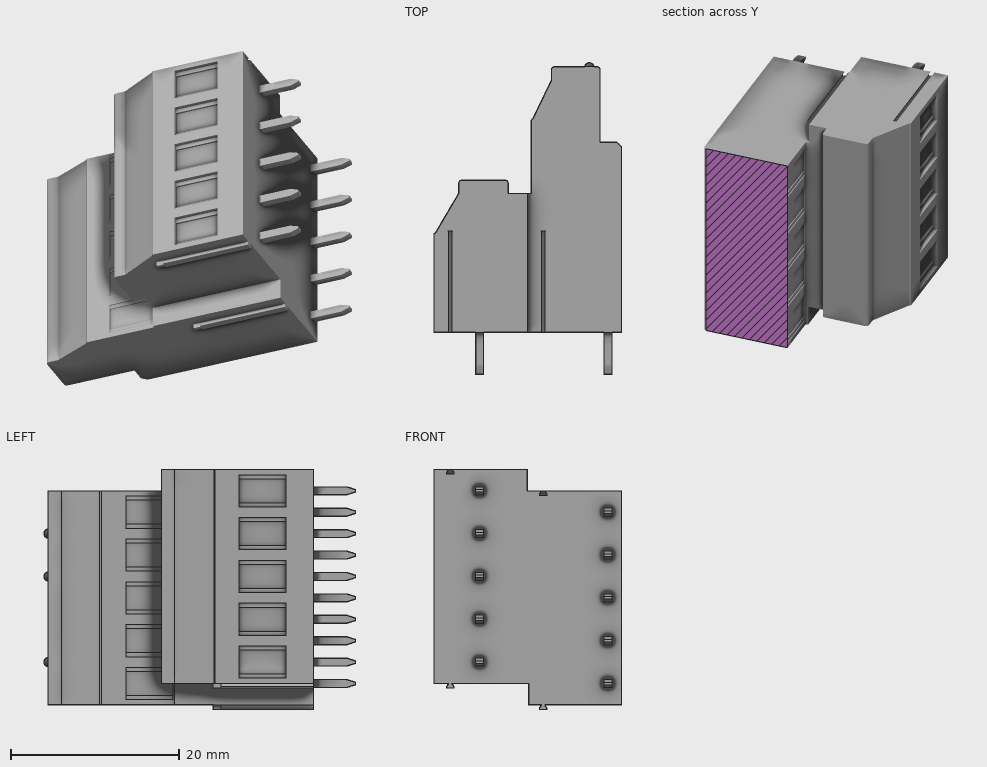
import cadquery as cq


POLES = 5
DECK_LENGTH = 25.42
PITCH = DECK_LENGTH / POLES
LOW_Z = 0.0
TALL_Z = LOW_Z - PITCH / 2

TOTAL_WIDTH = 22.3
DECK_OFFSET_X = 11.03
LOW_DECK_EDGE = 11.1
TALL_DECK_EDGE = 11.25
TALL_WALL_X = 11.55
EDGE_RADIUS = 0.37
LEDGE_STEP = 0.22
LOW_LEDGE_RISE = 0.15
SADDLE_HEIGHT = 16.5

LOW_HEIGHT = 18.05
LOW_SHOULDER = 11.7
LOW_HEAD_LEFT = 2.95
LOW_HEAD_RIGHT = 8.85

TALL_HEIGHT = 31.52
TALL_SHOULDER = 25.15
TALL_NECK = 29.9
TALL_HEAD_LEFT = 13.95
TALL_HEAD_RIGHT = 19.75
BACK_STEP_HEIGHT = 22.57
BACK_CHAMFER = 0.6

WINDOW_BOTTOM = 3.3
WINDOW_LENGTH = 5.55
WINDOW_OPENING = 3.8
LOW_WINDOW_DEPTH = 0.5
TALL_WINDOW_DEPTH = 0.1
TALL_WINDOW_RISE = 13.4
WINDOW_RIM = 0.48
FLOOR_OPENING = WINDOW_OPENING - 2 * WINDOW_RIM
LOW_FLOOR_DEPTH = 0.78
TALL_FLOOR_DEPTH = 0.22

DOVETAIL_X = 1.95
DOVETAIL_NECK = 0.45
DOVETAIL_BASE = 0.9
DOVETAIL_FLARE = 0.37
DOVETAIL_DEPTH = 0.55
GROOVE_LENGTH = 12.02
TONGUE_LENGTH = 11.9
TONGUE_FLARED_LENGTH = 11.0

PIN_SIZE = 0.95
PIN_TIP = 0.3
PIN_LENGTH = 5.0
PIN_TAPER = 1.05
PIN_OVERLAP = 0.37
LOW_PIN_X = 5.45
PIN_ROW_SPACING = 15.25

BUMP_X = 18.45
BUMP_RADIUS = 0.55
BUMP_HEIGHT = 0.48
BUMP_POLE_LINES = (1, 3, 4)


def box(x, y, z, dx, dy, dz):
    """Box from its minimum corner and its sizes."""
    return cq.Workplane("XY").box(dx, dy, dz, centered=False).translate((x, y, z))


def low_deck():
    outline = [
        (0, 0),
        (LOW_DECK_EDGE, 0),
        (LOW_DECK_EDGE, SADDLE_HEIGHT),
        (LOW_HEAD_RIGHT, SADDLE_HEIGHT),
        (LOW_HEAD_RIGHT, LOW_HEIGHT),
        (LOW_HEAD_LEFT, LOW_HEIGHT),
        (LOW_HEAD_LEFT, SADDLE_HEIGHT),
        (LEDGE_STEP, LOW_SHOULDER + LOW_LEDGE_RISE),
        (0, LOW_SHOULDER),
    ]
    deck = cq.Workplane("XY").polyline(outline).close().extrude(DECK_LENGTH)
    deck = deck.edges("|Z and >Y").fillet(EDGE_RADIUS)
    return deck.translate((0, 0, LOW_Z))


def tall_deck():
    outline = [
        (LOW_DECK_EDGE, 0),
        (TOTAL_WIDTH, 0),
        (TOTAL_WIDTH, BACK_STEP_HEIGHT - BACK_CHAMFER),
        (TOTAL_WIDTH - BACK_CHAMFER, BACK_STEP_HEIGHT),
        (TALL_HEAD_RIGHT, BACK_STEP_HEIGHT),
        (TALL_HEAD_RIGHT, TALL_HEIGHT),
        (TALL_HEAD_LEFT, TALL_HEIGHT),
        (TALL_HEAD_LEFT, TALL_NECK),
        (TALL_WALL_X + LEDGE_STEP, TALL_SHOULDER + LEDGE_STEP),
        (TALL_WALL_X, TALL_SHOULDER),
        (TALL_WALL_X, SADDLE_HEIGHT),
        (LOW_DECK_EDGE, SADDLE_HEIGHT),
    ]
    deck = cq.Workplane("XY").polyline(outline).close().extrude(DECK_LENGTH)
    deck = deck.edges("|Z and >Y").fillet(EDGE_RADIUS)
    deck = deck.translate((0, 0, TALL_Z))
    setback = box(
        LOW_DECK_EDGE, 0, TALL_Z,
        TALL_DECK_EDGE - LOW_DECK_EDGE, SADDLE_HEIGHT, LOW_Z - TALL_Z,
    )
    return deck.cut(setback)


def window(wall_x, bottom_y, recess_depth, floor_depth):
    """Stepped recess for a wall facing -X, centred on Z = 0."""
    recess = box(
        wall_x, bottom_y, -WINDOW_OPENING / 2,
        recess_depth, WINDOW_LENGTH, WINDOW_OPENING,
    )
    floor = box(
        wall_x, bottom_y, -FLOOR_OPENING / 2,
        floor_depth, WINDOW_LENGTH, FLOOR_OPENING,
    )
    return recess.union(floor)


def dovetail(center_x, mouth_z, length):
    """Bar along Y that hangs from mouth_z: narrow at the mouth, wide at the base."""
    neck = DOVETAIL_NECK / 2
    base = DOVETAIL_BASE / 2
    section = [
        (-neck, 0),
        (-base, -DOVETAIL_FLARE),
        (-base, -DOVETAIL_DEPTH),
        (base, -DOVETAIL_DEPTH),
        (base, -DOVETAIL_FLARE),
        (neck, 0),
    ]
    bar = cq.Workplane("XZ").polyline(section).close().extrude(-length)
    return bar.translate((center_x, 0, mouth_z))


def tongue(center_x, mouth_z):
    """Dovetail bar that continues past its flared part as a plain rib."""
    rib = box(
        center_x - DOVETAIL_NECK / 2, 0, mouth_z - DOVETAIL_DEPTH,
        DOVETAIL_NECK, TONGUE_LENGTH, DOVETAIL_DEPTH,
    )
    return dovetail(center_x, mouth_z, TONGUE_FLARED_LENGTH).union(rib)


def pin(center_x, center_z):
    """Flat-sided pin whose end tapers in Z only."""
    half = PIN_SIZE / 2
    tip = PIN_TIP / 2
    taper_y = PIN_TAPER - PIN_LENGTH
    side = [
        (PIN_OVERLAP, -half),
        (taper_y, -half),
        (-PIN_LENGTH, -tip),
        (-PIN_LENGTH, tip),
        (taper_y, half),
        (PIN_OVERLAP, half),
    ]
    blade = cq.Workplane("YZ").polyline(side).close().extrude(half, both=True)
    return blade.translate((center_x, 0, center_z))


def bump(center_z):
    center_y = TALL_HEIGHT + BUMP_HEIGHT - BUMP_RADIUS
    return cq.Workplane("XY").sphere(BUMP_RADIUS).translate((BUMP_X, center_y, center_z))


def add_pole_features(body, base_z, pin_x, dovetail_x, pole_window):
    """Cut the groove and windows of one deck, then add its tongue and pins."""
    body = body.cut(dovetail(dovetail_x, base_z + DECK_LENGTH, GROOVE_LENGTH))
    body = body.union(tongue(dovetail_x, base_z))
    for pole in range(POLES):
        pole_z = base_z + (pole + 0.5) * PITCH
        body = body.cut(pole_window.translate((0, 0, pole_z)))
        body = body.union(pin(pin_x, pole_z))
    return body


low_window = window(0, WINDOW_BOTTOM, LOW_WINDOW_DEPTH, LOW_FLOOR_DEPTH)
tall_window = window(
    TALL_WALL_X, WINDOW_BOTTOM + TALL_WINDOW_RISE, TALL_WINDOW_DEPTH, TALL_FLOOR_DEPTH
)

result = low_deck().union(tall_deck())
result = add_pole_features(result, LOW_Z, LOW_PIN_X, DOVETAIL_X, low_window)
result = add_pole_features(
    result, TALL_Z, LOW_PIN_X + PIN_ROW_SPACING, DOVETAIL_X + DECK_OFFSET_X, tall_window
)

for line in BUMP_POLE_LINES:
    result = result.union(bump(TALL_Z + line * PITCH))